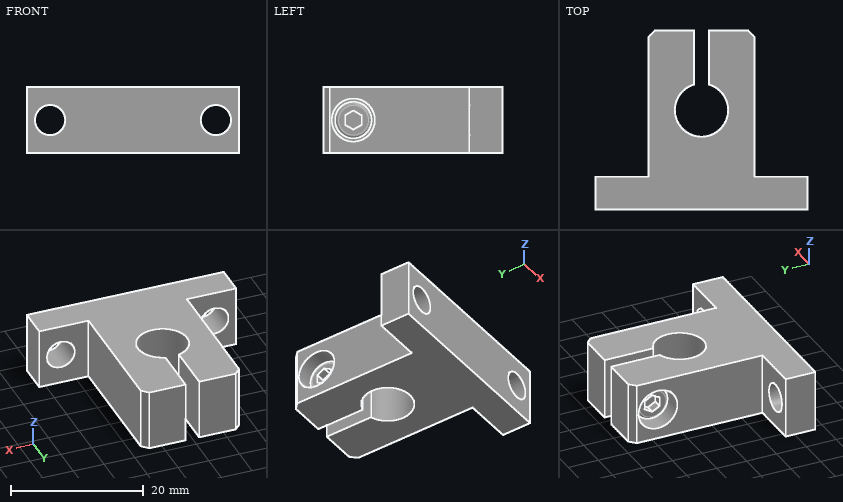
import cadquery as cq

base_length = 32.0
base_thickness = 5.0
height = 10.0
mount_hole_diameter = 4.5
mount_hole_spacing = 25.0

block_width = 16.0
total_depth = 27.0
corner_chamfer = 1.0
bore_diameter = 8.0
bore_y = 15.0
slot_width = 2.2

screw_y = 22.5
counterbore_diameter = 6.5
counterbore_depth = 5.0
head_diameter = 5.5
head_recess = 2.0
head_fillet = 0.495
socket_across_flats = 2.5
socket_depth = 1.5

mid_height = height / 2
block_side_x = -block_width / 2


def screw_plane(depth):
    """Plane facing +X on the screw axis, at a depth below the block side; local X is +Y."""
    return cq.Workplane("YZ", origin=(block_side_x + depth, screw_y, mid_height))


def make_body():
    base = cq.Workplane("XY").box(base_length, base_thickness, height, centered=(True, False, False))
    block = (
        cq.Workplane("XY")
        .box(block_width, total_depth, height, centered=(True, False, False))
        .edges("|Z and >Y")
        .chamfer(corner_chamfer)
    )
    return base.union(block)


def cut_mount_holes(body):
    holes = (
        cq.Workplane("XZ", origin=(0, 0, mid_height))
        .pushPoints([(-mount_hole_spacing / 2, 0), (mount_hole_spacing / 2, 0)])
        .circle(mount_hole_diameter / 2)
        .extrude(-base_thickness)
    )
    return body.cut(holes)


def cut_shaft_clamp(body):
    bore = cq.Workplane("XY").center(0, bore_y).circle(bore_diameter / 2).extrude(height)
    slot = (
        cq.Workplane("XY", origin=(0, bore_y, 0))
        .box(slot_width, total_depth - bore_y, height, centered=(True, False, False))
    )
    return body.cut(bore).cut(slot)


def make_screw_head():
    """Socket head standing on the counterbore floor."""
    head = (
        screw_plane(head_recess)
        .circle(head_diameter / 2)
        .extrude(counterbore_depth - head_recess)
        .edges("<X")
        .fillet(head_fillet)
    )
    socket = (
        screw_plane(head_recess)
        .polygon(6, socket_across_flats, circumscribed=True)
        .extrude(socket_depth)
    )
    return head.cut(socket)


counterbore = screw_plane(0).circle(counterbore_diameter / 2).extrude(counterbore_depth)

body = cut_shaft_clamp(cut_mount_holes(make_body()))
result = body.cut(counterbore).union(make_screw_head())